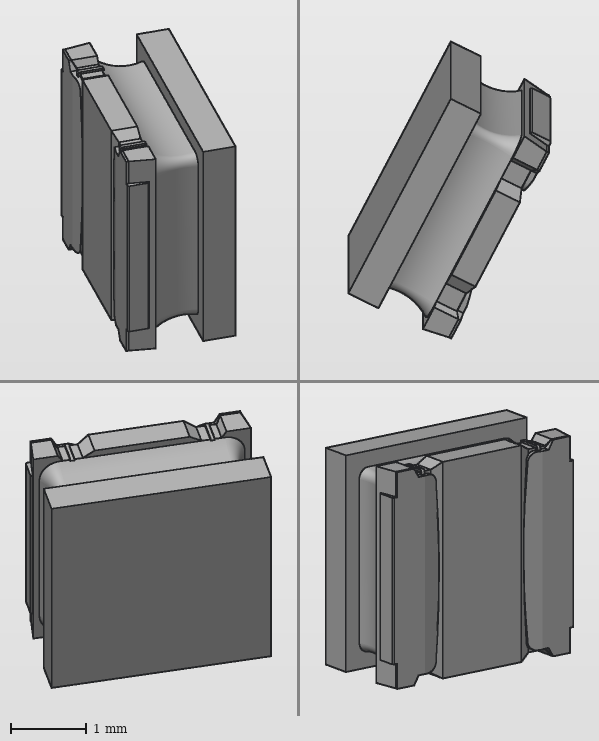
import cadquery as cq
import math

width = 3.0
height = 1.5
half_width = width / 2
back_y = height / 2
mounting_y = -height / 2

back_flange_thickness = 0.45
front_flange_thickness = 0.36
terminal_thickness = 0.035
post_radius = 0.7
back_flange_y = back_y - back_flange_thickness
flange_front_y = mounting_y + terminal_thickness
flange_back_y = flange_front_y + front_flange_thickness
flange_side_back_x = 1.487
flange_side_front_x = 1.432

channel_outer_x = 1.152
channel_floor_outer_x = 1.085
channel_floor_inner_x = 0.81
channel_inner_x = 0.65
notch_depth = 0.093
front_channel_depth = 0.056
notch_floor_z = half_width - notch_depth
channel_floor_y = flange_front_y + front_channel_depth

resin_back_half = 1.278
resin_waist_half = 1.253
resin_front_half = 1.403
resin_waist_distance = 0.225
resin_waist_y = back_flange_y - resin_waist_distance
resin_corner_radius = 0.12
resin_rim_depth = 0.05

wire_x = 0.958
wire_width = 0.055
wire_thickness = 0.03
wire_end_z = -1.2

terminal_end_z = 1.372
terminal_end_outer_x = 1.077
slope_start_x = 0.972
pad_inner_x = 0.7
pad_inner_recess = 0.016
pad_inner_y = flange_front_y + pad_inner_recess
corner_start_x = 0.9
corner_middle = (0.803, 1.335)
corner_end = (0.758, 1.21)
side_wrap_half = 1.152
side_wrap_depth = 0.308
side_wrap_back_y = mounting_y + side_wrap_depth
wrap_chamfer = 0.02


def channel_outline(plane, floor, mouth):
    """Channel cross-section on the -X side, from its floor to its mouth."""
    points = [
        (-channel_outer_x, mouth),
        (-channel_floor_outer_x, floor),
        (-channel_floor_inner_x, floor),
        (-channel_inner_x, mouth),
    ]
    return cq.Workplane(plane).polyline(points).close()


def box_between(x_range, y_range, z_range):
    size = [high - low for low, high in (x_range, y_range, z_range)]
    corner = (x_range[0], y_range[0], z_range[0])
    return cq.Workplane("XY").box(*size, centered=False).translate(corner)


def make_front_flange():
    outline = [
        (-flange_side_back_x, flange_back_y),
        (flange_side_back_x, flange_back_y),
        (flange_side_front_x, flange_front_y),
        (-flange_side_front_x, flange_front_y),
    ]
    flange = cq.Workplane("XY").polyline(outline).close().extrude(half_width, both=True)
    front_channel = channel_outline("XY", channel_floor_y, flange_front_y).extrude(half_width, both=True)
    top_notch = channel_outline("XZ", notch_floor_z, half_width).extrude(height, both=True)
    bottom_notch = top_notch.mirror("XY")
    for cutter in (front_channel, top_notch, bottom_notch):
        flange = flange.cut(cutter).cut(cutter.mirror("YZ"))
    return flange


def make_post():
    length = back_flange_y - flange_back_y
    return cq.Workplane("XZ", origin=(0, back_flange_y, 0)).circle(post_radius).extrude(length)


def make_core():
    edges = (-half_width, half_width)
    back_flange = box_between(edges, (back_flange_y, back_y), edges)
    return back_flange.union(make_post()).union(make_front_flange())


def make_wire(side):
    """Wire from the resin over the top notch floor, then down the front channel; both bends are rounded."""
    front_y = channel_floor_y - wire_thickness
    start_y = flange_back_y + wire_thickness
    outer_z = notch_floor_z + wire_thickness
    centre_x = side * wire_x
    x_range = (centre_x - wire_width / 2, centre_x + wire_width / 2)
    bar = box_between(x_range, (front_y, start_y), (wire_end_z, outer_z))
    bar = bar.edges("|X and >Z").fillet(wire_thickness)
    flange_space = box_between(x_range, (channel_floor_y, start_y), (wire_end_z, notch_floor_z))
    return bar.cut(flange_space)


def make_resin(wires):
    """Square block with a concave rim swept around it, hollowed for the post and the wire ends."""
    rim_half = resin_waist_half - resin_rim_depth
    straight = resin_waist_half - resin_corner_radius
    diagonal = straight + resin_corner_radius * math.sqrt(0.5)
    path = cq.Workplane("XZ", origin=(0, resin_waist_y, 0)).moveTo(0, resin_waist_half)
    for sx, sz in ((1, 1), (1, -1), (-1, -1), (-1, 1)):
        along_z = (sx * resin_waist_half, sz * straight)
        along_x = (sx * straight, sz * resin_waist_half)
        start, end = (along_x, along_z) if sx == sz else (along_z, along_x)
        path = path.lineTo(*start).threePointArc((sx * diagonal, sz * diagonal), end)
    path = path.close()
    rim = (
        cq.Workplane("YZ")
        .moveTo(back_flange_y, rim_half)
        .lineTo(back_flange_y, resin_back_half)
        .threePointArc((resin_waist_y, resin_waist_half), (flange_back_y, resin_front_half))
        .lineTo(flange_back_y, rim_half)
        .close()
        .sweep(path)
    )
    span = (-rim_half, rim_half)
    resin = box_between(span, (flange_back_y, back_flange_y), span).union(rim).cut(make_post())
    for wire in wires:
        resin = resin.cut(wire)
    return resin


def make_terminal(core, wire, side):
    """Pad over one front channel with a strip folded onto the flange side."""
    section = [
        (-flange_side_front_x, mounting_y),
        (-slope_start_x, mounting_y),
        (-pad_inner_x, pad_inner_y),
        (-pad_inner_x, channel_floor_y),
        (-flange_side_front_x, channel_floor_y),
    ]
    sloped_bar = cq.Workplane("XY").polyline(section).close().extrude(half_width, both=True)
    corner_x, corner_z = corner_middle
    end_x, end_z = corner_end
    pad_outline = (
        cq.Workplane("XZ")
        .moveTo(-flange_side_front_x, half_width)
        .lineTo(-channel_outer_x, half_width)
        .lineTo(-terminal_end_outer_x, terminal_end_z)
        .lineTo(-corner_start_x, terminal_end_z)
        .threePointArc((-corner_x, corner_z), (-end_x, end_z))
        .threePointArc((-pad_inner_x, 0), (-end_x, -end_z))
        .threePointArc((-corner_x, -corner_z), (-corner_start_x, -terminal_end_z))
        .lineTo(-terminal_end_outer_x, -terminal_end_z)
        .lineTo(-channel_outer_x, -half_width)
        .lineTo(-flange_side_front_x, -half_width)
        .close()
        .extrude(height, both=True)
    )
    side_strip = box_between(
        (-half_width, -flange_side_front_x),
        (mounting_y, side_wrap_back_y),
        (-side_wrap_half, side_wrap_half),
    )
    side_strip = side_strip.edges("<X and |Z").chamfer(wrap_chamfer)
    blank = sloped_bar.intersect(pad_outline).union(side_strip)
    if side > 0:
        blank = blank.mirror("YZ")
    return blank.cut(core).cut(wire)


core = make_core()
sides = (-1, 1)
wires = [make_wire(side) for side in sides]
resin = make_resin(wires)
terminals = [make_terminal(core, wire, side) for wire, side in zip(wires, sides)]

bodies = [core, resin, *wires, *terminals]
result = cq.Compound.makeCompound([body.solids().val() for body in bodies])